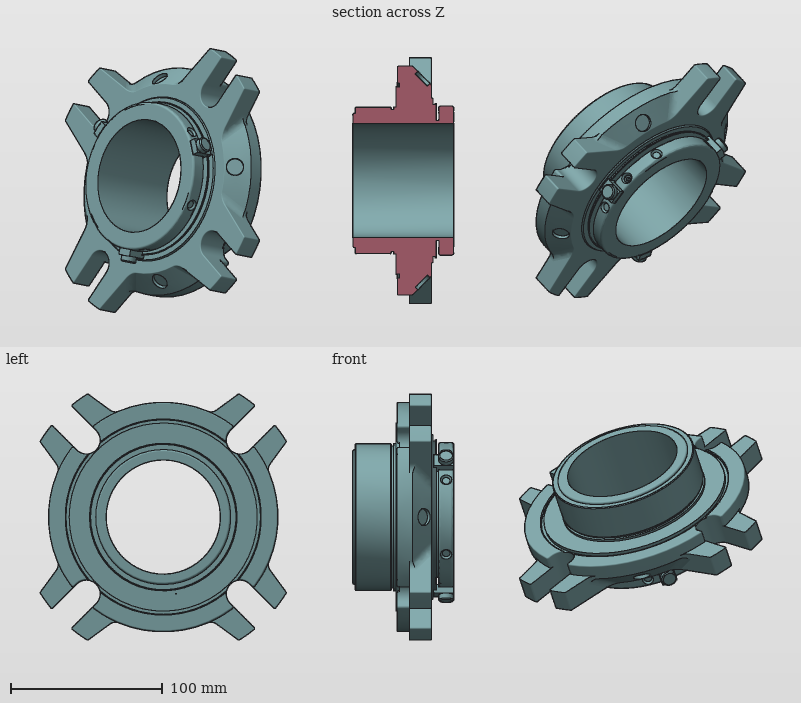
import cadquery as cq
import math


TOLERANCE = 0.01

TOTAL_LENGTH = 66.59
BORE_R = 75.01 / 2
SLEEVE_R = 79.35 / 2

TIP_R = 88.88 / 2
TIP_LENGTH = 1.55
TIP_ROUND = 1.4
NOSE_R = 96.83 / 2
NOSE_END = 25.5
NOSE_CHAMFER = 0.6
NECK_R = 93.71 / 2
NECK_END = 27.0
SHOULDER_R = 97.16 / 2

GASKET_FACE = 28.5
GASKET_R = 123.83 / 2
FLANGE_FACE = 29.2
FLANGE_R = 75.6
RIM_ROUND = 1.0
GROOVE_OUTER_R = 64.0
GROOVE_CHAMFER = 0.6
GROOVE_DEPTH = 1.5
FLANGE_BACK = 51.9
CONE_START = 39.4
CONE_BACK_R = FLANGE_R - (FLANGE_BACK - CONE_START)

LUG_FRONT = 37.25
LUG_END_R = 95.2
LUG_TIP_HALF_WIDTH = 22.25
LUG_FLARE = math.radians(8.8)
LUG_ROOT_U = 50.0
LUG_ROOT_FILLET = 6.0
LUG_CORNER_ROUND = 1.0
LUG_END_ZONE_R = 90.0
LUG_BACK_ROUND = 0.7
LUG_ROOT_ZONE_R = 78.6
SLOT_WIDTH = 18.0
SLOT_CENTER_R = 71.5
SLOT_MOUTH_ROUND = 1.5
LUG_ANGLES = (45, 135, 225, 315)

PORT_DIAMETER = 11.25
PORT_DEPTH = 2.5
PORT_X = 47.0
PORT_ANGLES = (0, 90, 180, 270)

BACK_STEP_R = 54.6
BACK_STEP_END_R = 53.9
BACK_STEP_END = 52.9
HUB_R = 100.33 / 2
HUB_END = 54.35
RING_R = 101.85 / 2
RING_END = 55.05

COLLAR_START = 56.5
COLLAR_R = 49.2
COLLAR_ROUND = 1.6
COLLAR_MID = (COLLAR_START + TOTAL_LENGTH) / 2
SET_SCREW_ANGLES = (30, 90, 150, 210, 270, 330)
SET_SCREW_MOUTH = 7.4
SET_SCREW_DIAMETER = 5.0
SET_SCREW_SINK = 1.5
SOCKET_SCREW_ANGLE = 120
SOCKET_SCREW_SINK = 2.5
SOCKET_DIAMETER = 2.65
SOCKET_DEPTH = 2.5

CLIP_ANGLES = (15, 135, 255)
CLIP_START = 53.1
CLIP_WIDTH = 10.0
CLIP_OUTER_R = 53.3
CLIP_SEAT_R = 48.7
CLIP_LEG_R = 47.2
CLIP_EDGE_CHAMFER = 0.6
HEAD_DIAMETER = 10.0
HEAD_SEAT_R = 52.6
HEAD_HEIGHT = 4.6
HEAD_CHAMFER = 0.8


def turned(points):
    """Solid of revolution about X from (x, radius) points."""
    return cq.Workplane("XY").polyline(points).close().revolve(360, (0, 0, 0), (1, 0, 0))


def around(shape, angle):
    """Turn a shape about X from the +Y direction to the given angle."""
    return shape.rotate((0, 0, 0), (1, 0, 0), angle)


def radial_plane(x, radius):
    """Sketch plane facing +Y at the given station and radius."""
    return cq.Workplane(cq.Plane(origin=(x, radius, 0), xDir=(1, 0, 0), normal=(0, 1, 0)))


def make_nose():
    tip = turned([(0, 0), (0, TIP_R), (TIP_LENGTH, TIP_R), (TIP_LENGTH, 0)])
    tip = tip.faces("<X").edges().fillet(TIP_ROUND)
    barrel = turned([(TIP_LENGTH, 0), (TIP_LENGTH, NOSE_R), (NOSE_END, NOSE_R), (NOSE_END, 0)])
    barrel = barrel.edges().chamfer(NOSE_CHAMFER)
    neck = turned([
        (NOSE_END, 0), (NOSE_END, NECK_R), (NECK_END, NECK_R),
        (NECK_END, SHOULDER_R), (GASKET_FACE, SHOULDER_R), (GASKET_FACE, 0),
    ])
    return tip.union(barrel).union(neck)


def make_lug_block():
    """Flared block with a round end, pointing along +Y; the slot is cut later."""
    tip_u = math.sqrt(LUG_END_R ** 2 - LUG_TIP_HALF_WIDTH ** 2)
    root_half_width = LUG_TIP_HALF_WIDTH + (tip_u - LUG_ROOT_U) * math.tan(LUG_FLARE)
    return (
        cq.Workplane("YZ", origin=(LUG_FRONT, 0, 0))
        .moveTo(LUG_ROOT_U, -root_half_width)
        .lineTo(tip_u, -LUG_TIP_HALF_WIDTH)
        .threePointArc((LUG_END_R, 0), (tip_u, LUG_TIP_HALF_WIDTH))
        .lineTo(LUG_ROOT_U, root_half_width)
        .close()
        .extrude(FLANGE_BACK - LUG_FRONT)
    )


def make_slot():
    reach = LUG_END_R + SLOT_WIDTH
    return (
        cq.Workplane("YZ", origin=(GASKET_FACE, 0, 0))
        .center((SLOT_CENTER_R + reach) / 2, 0)
        .slot2D(reach - SLOT_CENTER_R + SLOT_WIDTH, SLOT_WIDTH)
        .extrude(BACK_STEP_END - GASKET_FACE)
    )


def make_port():
    """Shallow round pocket square to the cone on the +Y side."""
    radius = FLANGE_R - (PORT_X - CONE_START)
    plane = cq.Plane(origin=(PORT_X, radius, 0), xDir=(0, 0, 1), normal=(1, 1, 0))
    return cq.Workplane(plane).circle(PORT_DIAMETER / 2).extrude(PORT_DEPTH, both=True)


def edge_radius(edge):
    """Distance from the X axis to the middle of an edge."""
    center = edge.Center()
    return math.hypot(center.y, center.z)


def is_lug_root(edge):
    """Edge where a lug flank meets the rim or the cone."""
    box = edge.BoundingBox()
    runs_along_lug = box.xmin > LUG_FRONT - TOLERANCE and box.xlen > TOLERANCE
    return runs_along_lug and edge_radius(edge) < FLANGE_R + TOLERANCE


def is_slot_mouth(edge):
    """Edge where a slot wall meets the rim ahead of the lugs."""
    box = edge.BoundingBox()
    return box.xmax < LUG_FRONT + TOLERANCE and abs(edge_radius(edge) - FLANGE_R) < TOLERANCE


def is_groove_edge(edge):
    """Edge of the flange face along the chamfered gasket groove."""
    start = edge.startPoint()
    end = edge.endPoint()
    groove_r = GROOVE_OUTER_R + GROOVE_CHAMFER
    return all(abs(math.hypot(point.y, point.z) - groove_r) < TOLERANCE for point in (start, end))


def make_flange():
    groove_floor = FLANGE_FACE + GROOVE_DEPTH
    flange = turned([
        (GASKET_FACE, 0), (GASKET_FACE, GASKET_R), (groove_floor, GASKET_R),
        (groove_floor, GROOVE_OUTER_R), (FLANGE_FACE + GROOVE_CHAMFER, GROOVE_OUTER_R),
        (FLANGE_FACE, GROOVE_OUTER_R + GROOVE_CHAMFER), (FLANGE_FACE, FLANGE_R),
        (CONE_START, FLANGE_R), (FLANGE_BACK, CONE_BACK_R), (FLANGE_BACK, 0),
    ])
    for angle in LUG_ANGLES:
        flange = flange.union(around(make_lug_block(), angle))

    roots = [edge for edge in flange.edges().vals() if is_lug_root(edge)]
    flange = flange.newObject(roots).fillet(LUG_ROOT_FILLET)

    for angle in LUG_ANGLES:
        flange = flange.cut(around(make_slot(), angle))
    for angle in PORT_ANGLES:
        flange = flange.cut(around(make_port(), angle))

    mouths = [edge for edge in flange.edges("|X").vals() if is_slot_mouth(edge)]
    flange = flange.newObject(mouths).fillet(SLOT_MOUTH_ROUND)

    corners = [edge for edge in flange.edges("|X").vals() if edge_radius(edge) > LUG_END_ZONE_R]
    flange = flange.newObject(corners).fillet(LUG_CORNER_ROUND)

    ends = [edge for edge in flange.faces(">X").edges().vals() if edge_radius(edge) > LUG_ROOT_ZONE_R]
    flange = flange.newObject(ends).fillet(LUG_BACK_ROUND)

    face_edges = flange.faces(cq.selectors.BoxSelector(
        (FLANGE_FACE - TOLERANCE, -LUG_END_R, -LUG_END_R),
        (FLANGE_FACE + TOLERANCE, LUG_END_R, LUG_END_R),
    )).edges().vals()
    rims = [edge for edge in face_edges if not is_groove_edge(edge)]
    return flange.newObject(rims).fillet(RIM_ROUND)


def make_back_steps():
    step = turned([
        (FLANGE_BACK, 0), (FLANGE_BACK, BACK_STEP_R), (BACK_STEP_END, BACK_STEP_END_R), (BACK_STEP_END, 0),
    ])
    hub = turned([
        (BACK_STEP_END, 0), (BACK_STEP_END, HUB_R), (HUB_END, HUB_R),
        (HUB_END, RING_R), (RING_END, RING_R), (RING_END, 0),
    ])
    sleeve = turned([
        (RING_END, 0), (RING_END, SLEEVE_R), (TOTAL_LENGTH, SLEEVE_R), (TOTAL_LENGTH, 0),
    ])
    return step.union(hub).union(sleeve)


def make_collar():
    collar = turned([
        (COLLAR_START, 0), (COLLAR_START, COLLAR_R), (TOTAL_LENGTH, COLLAR_R), (TOTAL_LENGTH, 0),
    ])
    collar = collar.edges().fillet(COLLAR_ROUND)
    sink = (
        radial_plane(COLLAR_MID, COLLAR_R - SET_SCREW_SINK)
        .circle(SET_SCREW_DIAMETER / 2)
        .workplane(offset=SET_SCREW_SINK)
        .circle(SET_SCREW_MOUTH / 2)
        .loft()
    )
    for angle in SET_SCREW_ANGLES + (SOCKET_SCREW_ANGLE,):
        collar = collar.cut(around(sink, angle))

    screw_face_r = COLLAR_R - SOCKET_SCREW_SINK
    recess = radial_plane(COLLAR_MID, screw_face_r).circle(SET_SCREW_DIAMETER / 2).extrude(SOCKET_SCREW_SINK)
    socket = radial_plane(COLLAR_MID, screw_face_r).circle(SOCKET_DIAMETER / 2).extrude(-SOCKET_DEPTH)
    return collar.cut(around(recess.union(socket), SOCKET_SCREW_ANGLE))


def make_clip():
    """Hooked plate over the retaining ring and collar, with its cap screw, on the +Y side."""
    plate = (
        cq.Workplane("XY", origin=(0, 0, -CLIP_WIDTH / 2))
        .moveTo(CLIP_START, RING_R)
        .lineTo(RING_END, RING_R)
        .lineTo(RING_END, CLIP_LEG_R)
        .lineTo(COLLAR_START, CLIP_LEG_R)
        .lineTo(COLLAR_START, CLIP_SEAT_R)
        .lineTo(TOTAL_LENGTH, CLIP_SEAT_R)
        .lineTo(TOTAL_LENGTH, CLIP_OUTER_R)
        .lineTo(CLIP_START, CLIP_OUTER_R)
        .close()
        .extrude(CLIP_WIDTH)
    )
    envelope = cq.Workplane("YZ").circle(CLIP_OUTER_R).extrude(TOTAL_LENGTH)
    plate = plate.intersect(envelope)
    plate = plate.faces("<X").edges(">Y").chamfer(CLIP_EDGE_CHAMFER)
    head = radial_plane(COLLAR_MID, HEAD_SEAT_R).circle(HEAD_DIAMETER / 2).extrude(HEAD_HEIGHT)
    head = head.faces(">Y").edges().chamfer(HEAD_CHAMFER)
    return plate.union(head)


result = make_nose().union(make_flange()).union(make_back_steps()).union(make_collar())
for clip_angle in CLIP_ANGLES:
    result = result.union(around(make_clip(), clip_angle))
bore = cq.Workplane("YZ").circle(BORE_R).extrude(TOTAL_LENGTH)
result = result.cut(bore)